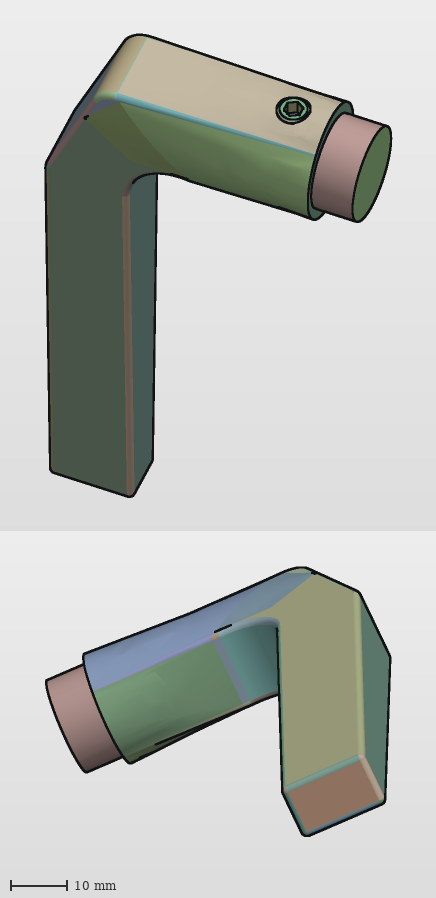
import cadquery as cq
import math


overall_length = 60.0
overall_height = 116.5

hub_width = 21.0
hub_height = 23.1
collar_diameter = 17.8
collar_length = 7.9
hub_end_x = overall_length - collar_length

lever_depth = 16.2
lever_bottom_z = hub_height / 2 - overall_height
knee_z = -17.7
bend_x = 10.7
bend_z = 8.5
inner_corner_z = -7.8
outer_bend_radius = 5.0
inner_bend_radius = 2 * outer_bend_radius

joint_top_x = 14.1
joint_bottom_x = 28.7

lever_bottom_width = 10.1
lever_axis_width = 15.5
edge_radius = 1.0

swell_start_top = (8.0, 0.1)
swell_start_bottom = (16.8, -8.0)
swell_at_joint = 0.9

hub_corner_y = 6.8
hub_corner_span = 2.0

screw_x = 45.0
screw_diameter = 6.0
screw_tip_diameter = 5.0
screw_length = 7.0
screw_top_z = 11.1
socket_across_flats = 3.0
socket_depth = 2.9


def height_on_line(start, end, x):
    """Z of the straight line through two XZ points at a given x."""
    slope = (end[1] - start[1]) / (end[0] - start[0])
    return start[1] + slope * (x - start[0])


knee = (0, knee_z)
bend = (bend_x, bend_z)
inner_corner = (lever_depth, inner_corner_z)
hub_end_top = (hub_end_x, hub_height / 2)
hub_end_bottom = (hub_end_x, -hub_height / 2)
joint_top = (joint_top_x, height_on_line(bend, hub_end_top, joint_top_x))
joint_bottom = (joint_bottom_x, height_on_line(inner_corner, hub_end_bottom, joint_bottom_x))
joint_middle = ((joint_top_x + joint_bottom_x) / 2, (joint_top[1] + joint_bottom[1]) / 2)


def side_y(z):
    """Half the lever width at a given height."""
    narrowing = (lever_axis_width - lever_bottom_width) / -lever_bottom_z
    return (lever_axis_width + narrowing * z) / 2


def nearest(point):
    """Selector for the edge or face closest to an XZ point in the middle plane."""
    return cq.selectors.NearestToPointSelector((point[0], 0, point[1]))


def make_lever():
    """Cranked bar with tapering sides and rounded edges, cut off at the joint."""
    outline = [(0, lever_bottom_z), knee, bend, hub_end_top,
               hub_end_bottom, inner_corner, (lever_depth, lever_bottom_z)]
    bar = cq.Workplane("XZ").polyline(outline).close().extrude(hub_width / 2, both=True)
    bar = bar.edges(nearest(knee)).fillet(outer_bend_radius)
    bar = bar.edges(nearest(bend)).fillet(outer_bend_radius)
    bar = bar.edges(nearest(inner_corner)).fillet(inner_bend_radius)

    top_z = hub_height / 2
    taper = (
        cq.Workplane("YZ")
        .moveTo(-side_y(lever_bottom_z), lever_bottom_z)
        .lineTo(side_y(lever_bottom_z), lever_bottom_z)
        .lineTo(side_y(top_z), top_z)
        .lineTo(-side_y(top_z), top_z)
        .close()
        .extrude(hub_end_x)
    )
    lever = bar.intersect(taper)
    lever = lever.faces("<Y or >Y or <Z").edges("not(>X)").fillet(edge_radius)

    beyond_joint = (
        cq.Workplane("XZ")
        .polyline([joint_top, joint_bottom, hub_end_bottom, hub_end_top])
        .close()
        .extrude(hub_width, both=True)
    )
    return lever.cut(beyond_joint)


def swollen_side(edge):
    """Arc that bulges outward between the ends of a straight side of the joint."""
    middle = edge.positionAt(0.5)
    outward = cq.Vector(0, math.copysign(swell_at_joint, middle.y), 0)
    return cq.Edge.makeThreePointArc(edge.startPoint(), middle + outward, edge.endPoint())


def make_swell(sides):
    """Block whose sides change from flat inside the bend to bulging at the joint."""
    start_corners = [
        cq.Vector(x, side * side_y(z), z)
        for side, (x, z) in ((1, swell_start_top), (1, swell_start_bottom),
                             (-1, swell_start_bottom), (-1, swell_start_top))
    ]
    start = cq.Wire.makePolygon(start_corners, close=True)

    side_ends = [sorted((arc.startPoint(), arc.endPoint()), key=lambda point: point.z) for arc in sides]
    crossings = [cq.Edge.makeLine(left, right) for left, right in zip(*side_ends)]
    joint = cq.Wire.assembleEdges([sides[0], crossings[0], sides[1], crossings[1]])
    return cq.Workplane(cq.Solid.makeLoft([start, joint], True))


def make_hub(joint):
    """Block running from the joint outline to the oval hub end."""
    corner = math.degrees(math.asin(hub_corner_y / (hub_width / 2)))
    span = hub_corner_span / 2
    stops = []
    for angle in (corner, 180 - corner, 180 + corner, 360 - corner):
        stops += [angle - span, angle + span]
    arcs = [
        cq.Edge.makeEllipse(hub_height / 2, hub_width / 2, cq.Vector(hub_end_x, 0, 0),
                            cq.Vector(1, 0, 0), cq.Vector(0, 0, 1), start, end)
        for start, end in zip(stops, stops[1:] + [stops[0] + 360])
    ]
    return cq.Workplane(cq.Solid.makeLoft([joint, cq.Wire.assembleEdges(arcs)], True))


def make_handle():
    """Lever, hub and collar as one solid, with the set screw hole cut into the hub."""
    lever = make_lever()
    joint_edges = lever.faces(nearest(joint_middle)).edges()
    sides = [swollen_side(edge) for edge in joint_edges.edges("<Y or >Y").vals()]
    other_edges = joint_edges.edges("not(<Y or >Y)").vals()
    swell = make_swell(sides)
    hub = make_hub(cq.Wire.assembleEdges(sides + other_edges))
    collar = cq.Workplane("YZ", origin=(hub_end_x, 0, 0)).circle(collar_diameter / 2).extrude(collar_length)
    handle = lever.union(swell).union(hub).union(collar)
    return handle.cut(make_screw_hole())


def make_screw():
    """Set screw with a chamfered upper end and a hexagon socket."""
    chamfer = (screw_diameter - screw_tip_diameter) / 2
    top = cq.Workplane("XY", origin=(screw_x, 0, screw_top_z))
    body = top.circle(screw_diameter / 2).extrude(-screw_length).faces(">Z").chamfer(chamfer)
    across_corners = socket_across_flats / math.cos(math.pi / 6)
    socket = top.transformed(rotate=(0, 0, 90)).polygon(6, across_corners).extrude(-socket_depth)
    return body.cut(socket)


def make_screw_hole():
    """Blind round hole that holds the set screw, open at the top of the hub."""
    hole_bottom_z = screw_top_z - screw_length
    return (
        cq.Workplane("XY", origin=(screw_x, 0, hole_bottom_z))
        .circle(screw_diameter / 2)
        .extrude(hub_height / 2)
    )


handle = make_handle()
screw = make_screw()

result = cq.Compound.makeCompound([handle.solids().val(), screw.val()])